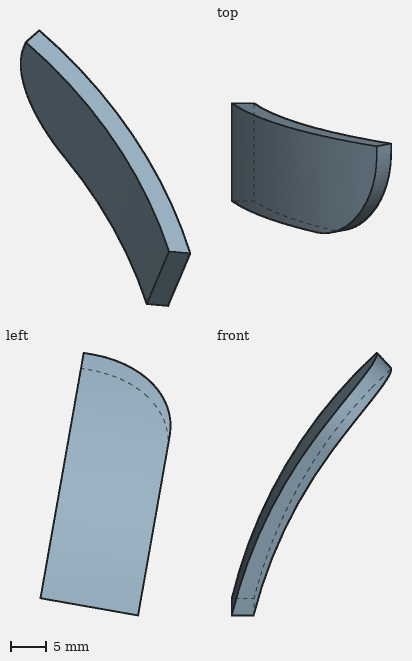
import cadquery as cq
import math

outer_radius = 70.38
thickness = 3.0
width = 14.0
rise = 35.15
overhang = 20.45
corner_radius = 12.6
tilt = 10.0

inner_radius = outer_radius - thickness
chord = math.hypot(overhang, rise)
chord_lean = math.atan2(overhang, rise)
half_sweep = math.asin(chord / 2 / outer_radius)
bottom_angle = chord_lean - half_sweep
top_angle = chord_lean + half_sweep
center_x = outer_radius * math.cos(bottom_angle)
center_z = -outer_radius * math.sin(bottom_angle)


def arc_point(radius, angle):
    """Point on a concentric arc, with the angle rising from the -X direction."""
    return (center_x - radius * math.cos(angle), center_z + radius * math.sin(angle))


inner_bottom_angle = math.asin(-center_z / inner_radius)
inner_middle_angle = (inner_bottom_angle + top_angle) / 2

plate = (
    cq.Workplane("XZ")
    .moveTo(0, 0)
    .threePointArc(arc_point(outer_radius, chord_lean), arc_point(outer_radius, top_angle))
    .lineTo(*arc_point(inner_radius, top_angle))
    .threePointArc(
        arc_point(inner_radius, inner_middle_angle),
        arc_point(inner_radius, inner_bottom_angle),
    )
    .close()
    .extrude(-width)
)

end_middle = arc_point(outer_radius - thickness / 2, top_angle)
corner_edge = cq.selectors.NearestToPointSelector((end_middle[0], 0, end_middle[1]))
plate = plate.edges(corner_edge).fillet(corner_radius)

result = plate.rotate((0, 0, 0), (1, 0, 0), tilt)